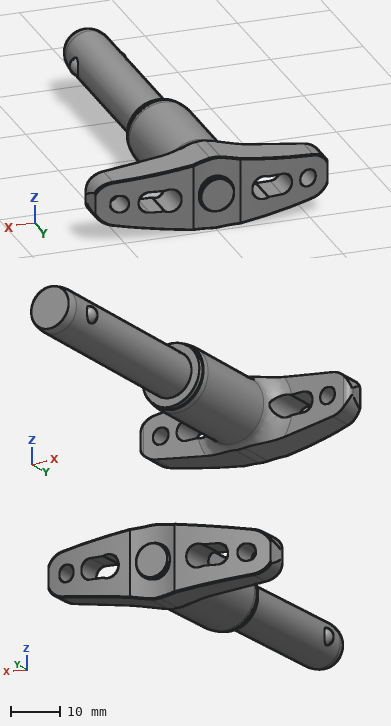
import cadquery as cq
import math

TOTAL_LENGTH = 80.4

PIN_RADIUS = 5.0
TIP_RADIUS = 4.6
TIP_LENGTH = 2.25
BALL_RADIUS = 1.9
BALL_REACH = 6.0
BALL_Y = 7.9

BODY_RADIUS = 7.3
COLLAR_RADIUS = 6.9
COLLAR_Y = 44.7
TAPER_Y = 45.9
TAPER_LENGTH = 1.45
TAPER_INSET = 0.2
FLARE_RADIUS = 4.2

HANDLE_HALF_WIDTH = 7.9
OUTLINE_END_RADIUS = 4.9
OUTLINE_END_X = 20.9

HANDLE_HALF_LENGTH = 26.05
END_TOP_INSET = 1.0
CROWN_TOP_Y = 80.1
CROWN_RADIUS = 60.3
VALLEY_HALF_WIDTH = 5.1
VALLEY_DEPTH = 1.0
UNDERSIDE_MIDDLE_Y = 72.2
UNDERSIDE_END_Y = 71.4
END_FILLET = 1.3
CROWN_EDGE_CHAMFER = 0.25

HOLE_X = 20.35
HOLE_RADIUS = 1.85
SLOT_OUTER_X = 14.3
SLOT_RADIUS = 2.25
SLOT_INNER_X = 10.1
SLOT_INNER_RADIUS = 2.5

BUTTON_RADIUS = 3.8
BUTTON_BEVEL_WIDTH = 0.25
BUTTON_BEVEL_HEIGHT = 0.6

SEAT_Y = CROWN_TOP_Y - 2 * VALLEY_DEPTH

PICK_MARGIN = 0.8


def along_pin(y):
    """Sketch plane square to the pin: local x is X, local y is Z, extrusion runs toward -Y."""
    return cq.Workplane("XZ", origin=(0, y, 0))


def handle_side_profile():
    """Crowned top with a shallow central valley, drafted ends and a bowed underside."""
    end_top_x = HANDLE_HALF_LENGTH - END_TOP_INSET
    crown_mid_x = (end_top_x + VALLEY_HALF_WIDTH) / 2
    crown_centre_y = CROWN_TOP_Y - CROWN_RADIUS

    def crown_y(x):
        return crown_centre_y + math.sqrt(CROWN_RADIUS**2 - (x - VALLEY_HALF_WIDTH) ** 2)

    end_top_y = crown_y(end_top_x)
    crown_mid_y = crown_y(crown_mid_x)
    return (
        cq.Workplane("XY")
        .moveTo(-VALLEY_HALF_WIDTH, CROWN_TOP_Y)
        .threePointArc((0, CROWN_TOP_Y - VALLEY_DEPTH), (VALLEY_HALF_WIDTH, CROWN_TOP_Y))
        .threePointArc((crown_mid_x, crown_mid_y), (end_top_x, end_top_y))
        .lineTo(HANDLE_HALF_LENGTH, UNDERSIDE_END_Y)
        .threePointArc((0, UNDERSIDE_MIDDLE_Y), (-HANDLE_HALF_LENGTH, UNDERSIDE_END_Y))
        .lineTo(-end_top_x, end_top_y)
        .threePointArc((-crown_mid_x, crown_mid_y), (-VALLEY_HALF_WIDTH, CROWN_TOP_Y))
        .close()
    )


def handle_outline():
    """Lozenge outline: a middle arc and two end arcs joined by their common tangent flanks."""
    flank_angle = math.asin((HANDLE_HALF_WIDTH - OUTLINE_END_RADIUS) / OUTLINE_END_X)
    sine = math.sin(flank_angle)
    cosine = math.cos(flank_angle)
    middle_x = HANDLE_HALF_WIDTH * sine
    middle_z = HANDLE_HALF_WIDTH * cosine
    end_x = OUTLINE_END_X + OUTLINE_END_RADIUS * sine
    end_z = OUTLINE_END_RADIUS * cosine
    tip_x = OUTLINE_END_X + OUTLINE_END_RADIUS
    return (
        along_pin(TOTAL_LENGTH)
        .moveTo(-middle_x, middle_z)
        .threePointArc((0, HANDLE_HALF_WIDTH), (middle_x, middle_z))
        .lineTo(end_x, end_z)
        .threePointArc((tip_x, 0), (end_x, -end_z))
        .lineTo(middle_x, -middle_z)
        .threePointArc((0, -HANDLE_HALF_WIDTH), (-middle_x, -middle_z))
        .lineTo(-end_x, -end_z)
        .threePointArc((-tip_x, 0), (-end_x, end_z))
        .close()
    )


def body_and_handle():
    """Handle slab and body joined by a flare, trimmed to the outline, with a bevelled crown rim."""
    slab_half_width = BODY_RADIUS + 2 * FLARE_RADIUS
    slab = handle_side_profile().extrude(slab_half_width, both=True)
    slab = slab.edges("|Z").edges("<Y").fillet(END_FILLET)
    body = along_pin(SEAT_Y).circle(BODY_RADIUS).extrude(SEAT_Y - TAPER_Y - TAPER_LENGTH)
    joint_reach = BODY_RADIUS + PICK_MARGIN
    near_joint = cq.selectors.BoxSelector(
        (-joint_reach, UNDERSIDE_MIDDLE_Y - PICK_MARGIN, -joint_reach),
        (joint_reach, UNDERSIDE_MIDDLE_Y + PICK_MARGIN, joint_reach),
        boundingbox=True,
    )
    blank = slab.union(body).edges(near_joint).fillet(FLARE_RADIUS)
    trimmed = blank.intersect(handle_outline().extrude(TOTAL_LENGTH))
    mid_height_y = (CROWN_TOP_Y + UNDERSIDE_MIDDLE_Y) / 2
    handle_reach_z = HANDLE_HALF_WIDTH + PICK_MARGIN
    upper_part = cq.selectors.BoxSelector(
        (-HANDLE_HALF_LENGTH, mid_height_y, -handle_reach_z),
        (HANDLE_HALF_LENGTH, TOTAL_LENGTH, handle_reach_z),
        boundingbox=True,
    )
    crown_rim = trimmed.edges(upper_part).edges("not |Z")
    return crown_rim.chamfer(CROWN_EDGE_CHAMFER)


def handle_openings():
    """A round hole and a keyhole slot through each arm."""
    cutters = cq.Workplane("XZ")
    for side in (-1, 1):
        slot_mid_x = (SLOT_OUTER_X + SLOT_INNER_X) / 2
        hole = along_pin(TOTAL_LENGTH).center(side * HOLE_X, 0).circle(HOLE_RADIUS)
        outer = along_pin(TOTAL_LENGTH).center(side * SLOT_OUTER_X, 0).circle(SLOT_RADIUS)
        inner = along_pin(TOTAL_LENGTH).center(side * SLOT_INNER_X, 0).circle(SLOT_INNER_RADIUS)
        bridge = (
            along_pin(TOTAL_LENGTH)
            .center(side * slot_mid_x, 0)
            .rect(SLOT_OUTER_X - SLOT_INNER_X, 2 * SLOT_RADIUS)
        )
        for sketch in (hole, outer, inner, bridge):
            cutters = cutters.union(sketch.extrude(TOTAL_LENGTH))
    return cutters


def shank_and_collar():
    """Rounded tip, shank, collar and the tapered end of the body, turned about the pin axis."""
    taper_top_y = TAPER_Y + TAPER_LENGTH
    return (
        cq.Workplane("XY")
        .moveTo(0, 0)
        .lineTo(0, taper_top_y)
        .lineTo(BODY_RADIUS, taper_top_y)
        .lineTo(BODY_RADIUS - TAPER_INSET, TAPER_Y)
        .lineTo(COLLAR_RADIUS, TAPER_Y)
        .lineTo(COLLAR_RADIUS, COLLAR_Y)
        .lineTo(PIN_RADIUS, COLLAR_Y)
        .lineTo(PIN_RADIUS, TIP_LENGTH)
        .tangentArcPoint((TIP_RADIUS, 0), relative=False)
        .close()
        .revolve(360, (0, 0, 0), (0, 1, 0))
    )


def locking_balls():
    """Two balls that stand out of the shank near its tip."""
    ball_x = BALL_REACH - BALL_RADIUS
    return (
        cq.Workplane("XY")
        .pushPoints([(-ball_x, BALL_Y), (ball_x, BALL_Y)])
        .sphere(BALL_RADIUS)
    )


def release_button():
    """Round button with a bevelled rim, seated in the valley of the handle."""
    return (
        cq.Workplane("XY")
        .moveTo(0, SEAT_Y)
        .lineTo(BUTTON_RADIUS, SEAT_Y)
        .lineTo(BUTTON_RADIUS, TOTAL_LENGTH - BUTTON_BEVEL_HEIGHT)
        .lineTo(BUTTON_RADIUS - BUTTON_BEVEL_WIDTH, TOTAL_LENGTH)
        .lineTo(0, TOTAL_LENGTH)
        .close()
        .revolve(360, (0, 0, 0), (0, 1, 0))
    )


result = (
    body_and_handle()
    .cut(handle_openings())
    .union(shank_and_collar())
    .union(locking_balls())
    .union(release_button())
)